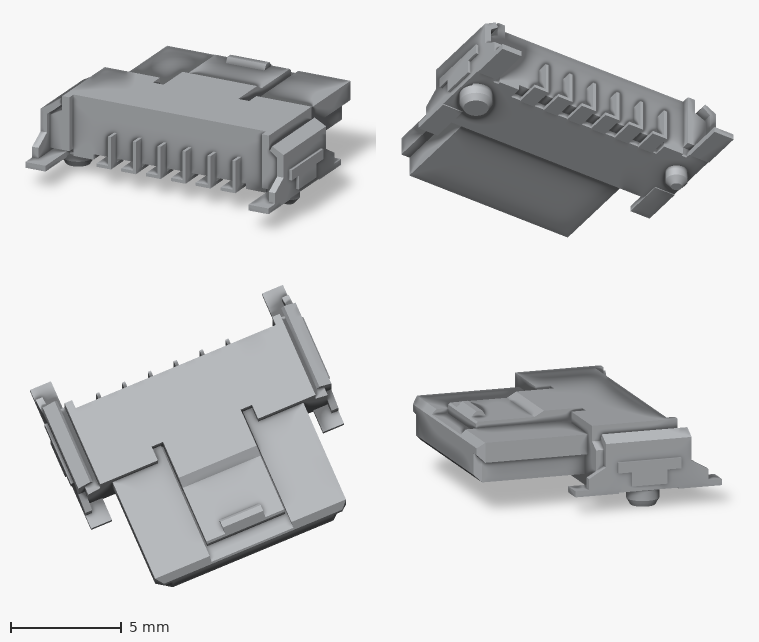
import cadquery as cq

TOP_Z = 3.02
BODY_BOTTOM = 0.05

BLOCK_REAR = 2.4
BLOCK_FRONT = -1.3
TAB_FRONT = -1.7
BLOCK_TOP_HALF = 5.28
BLOCK_HALF = 5.88
SHOULDER_TOP = 2.3
SHOULDER_BOTTOM = 2.02
TAB_INNER = 4.91
TAB_BOTTOM = 0.42
TAB_SLOPE_FRONT = BLOCK_FRONT
TAB_SLOPE_REAR = -1.15
TAB_SLOPE_BOTTOM = 0.18
UNDERCUT_HALF = 3.9
UNDERCUT_TOP = 0.32
UNDERCUT_REAR = -0.66
NOTCH_HALF = 2.46
NOTCH_FRONT = 1.7

MATING_REAR = 7.6
MATING_TOP = 2.49
MATING_STEP = 1.56
MATING_BOTTOM = 0.55
MATING_HALF = 4.69
MATING_LOWER_HALF = 4.25
MATING_CHAMFER = 0.3

LATCH_HALF = 1.9
LATCH_REAR = 6.77
LATCH_TOP = 2.77
LATCH_CHAMFER = 0.09
LATCH_RAMP_REAR = 3.96
LATCH_RAMP_FRONT = 3.52
RECESS_HALF = 2.01
RECESS_FLOOR = 2.26
SLOT_REAR = 4.01
SLOT_FLOOR = 2.16
BUMP_HALF = 0.99
BUMP_TOP_FRONT = 6.13
BUMP_FRONT = 5.97

BRACKET_OUTER = 6.21
BRACKET_INNER = BLOCK_HALF
BEND_Z = 2.36
BEND_INNER_Z = 2.17
FLAP_TIP = [(5.63, 2.68), (5.5, 2.45)]
FOOT_LENGTH = 7.01
FOOT_INNER = 5.18
FOOT_THICKNESS = 0.28
PLATE_HALF_LOW = 2.86
PLATE_HALF_HIGH = 2.05
PLATE_SLOPE_BOTTOM = 0.8
PLATE_SLOPE_TOP = 1.27
RELIEF_HALF = 1.44

KEY_OUTER = 6.35
KEY_HALF = 1.51
KEY_STEM_HALF = 0.85
KEY_TOP = 1.47
KEY_STEP = 0.98
KEY_BOTTOM = 0.32

LEFT_PEG_X = -5.37
RIGHT_PEG_X = 5.4
PEG_BOTTOM = -0.77
PEG_TAPER_Z = -0.47
PEG_FLAT_BOTTOM = -0.03
LEFT_PEG_RADII = (0.75, 0.57)
RIGHT_PEG_RADII = (0.51, 0.25)

CONTACT_COUNT = 6
CONTACT_PITCH = 1.27
FIRST_CONTACT_X = -2.69
CONTACT_THICKNESS = 0.15
CONTACT_TOP = 1.56
CONTACT_FOOT_WIDTH = 0.75
CONTACT_FRONT = -1.89


def box(x_range, y_range, z_range):
    """Block spanning the given ranges."""
    x0, x1 = x_range
    y0, y1 = y_range
    z0, z1 = z_range
    return cq.Workplane("XY").box(x1 - x0, y1 - y0, z1 - z0, centered=False).translate((x0, y0, z0))


def prism_along_x(points, x0, x1):
    """Outline of (y, z) points extruded from x0 to x1."""
    return cq.Workplane("YZ").polyline(points).close().extrude(x1 - x0).translate((x0, 0, 0))


def prism_along_y(points, y0, y1):
    """Outline of (x, z) points extruded from y0 to y1."""
    return cq.Workplane("XZ").polyline(points).close().extrude(y0 - y1).translate((0, y0, 0))


def mirrored(points):
    """Closed outline symmetric about the vertical axis, from its positive half."""
    return points + [(-a, b) for a, b in reversed(points)]


def both_sides(shape):
    """The shape together with its mirror image across X = 0."""
    return shape.union(shape.mirror("YZ"))


def housing_block():
    """Main block with front tabs, contact undercut and latch-side notch."""
    outline = mirrored([
        (BLOCK_HALF, BODY_BOTTOM),
        (BLOCK_HALF, SHOULDER_BOTTOM),
        (BLOCK_TOP_HALF, SHOULDER_TOP),
        (BLOCK_TOP_HALF, TOP_Z),
    ])
    block = prism_along_y(outline, TAB_FRONT, BLOCK_REAR)
    block = block.cut(box((-TAB_INNER, TAB_INNER), (TAB_FRONT, BLOCK_FRONT), (BODY_BOTTOM, TOP_Z)))
    undercut = box((-UNDERCUT_HALF, UNDERCUT_HALF), (BLOCK_FRONT, UNDERCUT_REAR), (BODY_BOTTOM, UNDERCUT_TOP))
    tab_relief = prism_along_x(
        [
            (TAB_FRONT, BODY_BOTTOM),
            (TAB_FRONT, TAB_BOTTOM),
            (TAB_SLOPE_FRONT, TAB_BOTTOM),
            (TAB_SLOPE_REAR, TAB_SLOPE_BOTTOM),
            (TAB_SLOPE_REAR, BODY_BOTTOM),
        ],
        TAB_INNER,
        BLOCK_HALF,
    )
    notch = box((-NOTCH_HALF, NOTCH_HALF), (NOTCH_FRONT, BLOCK_REAR), (MATING_TOP, TOP_Z))
    return block.cut(undercut).cut(both_sides(tab_relief)).cut(notch)


def mating_section():
    """Stepped rear section, chamfered around its end."""
    upper = box((-MATING_HALF, MATING_HALF), (BLOCK_REAR, MATING_REAR), (MATING_STEP, MATING_TOP))
    lower = box(
        (-MATING_LOWER_HALF, MATING_LOWER_HALF), (BLOCK_REAR, MATING_REAR), (MATING_BOTTOM, MATING_TOP)
    )
    return upper.faces(">Y").chamfer(MATING_CHAMFER).union(lower.faces(">Y").chamfer(MATING_CHAMFER))


def latch_recess():
    """Shallow recess around the latch, with deeper slots beside its root."""
    recess = box((-RECESS_HALF, RECESS_HALF), (NOTCH_FRONT, MATING_REAR), (RECESS_FLOOR, TOP_Z))
    slots = box((-RECESS_HALF, RECESS_HALF), (NOTCH_FRONT, SLOT_REAR), (SLOT_FLOOR, TOP_Z))
    return recess.union(slots)


def latch():
    """Latch lever with a catch bump near its rear end."""
    chamfer_foot_z = LATCH_TOP - LATCH_CHAMFER
    lever = prism_along_x(
        [
            (NOTCH_FRONT, SLOT_FLOOR),
            (SLOT_REAR, SLOT_FLOOR),
            (SLOT_REAR, RECESS_FLOOR),
            (LATCH_REAR, RECESS_FLOOR),
            (LATCH_REAR, chamfer_foot_z),
            (LATCH_REAR - LATCH_CHAMFER, LATCH_TOP),
            (LATCH_RAMP_REAR, LATCH_TOP),
            (LATCH_RAMP_FRONT, TOP_Z),
            (NOTCH_FRONT, TOP_Z),
        ],
        -LATCH_HALF,
        LATCH_HALF,
    )
    bump = prism_along_x(
        [
            (LATCH_REAR, chamfer_foot_z),
            (LATCH_REAR - (TOP_Z - chamfer_foot_z), TOP_Z),
            (BUMP_TOP_FRONT, TOP_Z),
            (BUMP_FRONT, LATCH_TOP),
            (BUMP_FRONT, chamfer_foot_z),
        ],
        -BUMP_HALF,
        BUMP_HALF,
    )
    return lever.union(bump)


def bracket():
    """Right-hand bracket: upright plate with a bent flap, a foot and a T-shaped key."""
    section = [(BRACKET_OUTER, 0), (BRACKET_OUTER, BEND_Z)] + FLAP_TIP
    section += [(BRACKET_INNER, BEND_INNER_Z), (BRACKET_INNER, 0)]
    flap_top = FLAP_TIP[0][1]
    side_outline = mirrored([
        (PLATE_HALF_LOW, 0),
        (PLATE_HALF_LOW, PLATE_SLOPE_BOTTOM),
        (PLATE_HALF_HIGH, PLATE_SLOPE_TOP),
        (PLATE_HALF_HIGH, flap_top),
    ])
    plate = prism_along_y(section, -PLATE_HALF_LOW, PLATE_HALF_LOW)
    plate = plate.intersect(prism_along_x(side_outline, 0, BRACKET_OUTER))
    foot = box((FOOT_INNER, BRACKET_OUTER), (-FOOT_LENGTH / 2, FOOT_LENGTH / 2), (0, FOOT_THICKNESS))
    relief = box((FOOT_INNER, BRACKET_OUTER), (-RELIEF_HALF, RELIEF_HALF), (0, BODY_BOTTOM))
    key_outline = mirrored([
        (KEY_STEM_HALF, KEY_BOTTOM),
        (KEY_STEM_HALF, KEY_STEP),
        (KEY_HALF, KEY_STEP),
        (KEY_HALF, KEY_TOP),
    ])
    key = prism_along_x(key_outline, BRACKET_INNER, KEY_OUTER)
    return plate.union(foot).cut(relief).union(key)


def peg(x, radii):
    """Round peg with a tapered tip."""
    radius, tip_radius = radii
    return (
        cq.Workplane("XZ")
        .polyline([
            (0, FOOT_THICKNESS),
            (radius, FOOT_THICKNESS),
            (radius, PEG_TAPER_Z),
            (tip_radius, PEG_BOTTOM),
            (0, PEG_BOTTOM),
        ])
        .close()
        .revolve(360, (0, 0), (0, 1))
        .translate((x, 0, 0))
    )


def peg_flat_cut():
    """Gap under the right-hand plate, leaving a short flat on the outside of the peg."""
    return box((BRACKET_INNER, BRACKET_OUTER), (-RELIEF_HALF, RELIEF_HALF), (PEG_FLAT_BOTTOM, BODY_BOTTOM))


def contact(right_edge):
    """L-shaped solder tail: an upright blade on a flat foot."""
    blade_x = (right_edge - CONTACT_THICKNESS, right_edge)
    foot_x = (right_edge - CONTACT_FOOT_WIDTH, right_edge)
    blade = box(blade_x, (CONTACT_FRONT, BLOCK_FRONT), (0, CONTACT_TOP))
    foot = box(foot_x, (CONTACT_FRONT, UNDERCUT_REAR), (0, CONTACT_THICKNESS))
    return blade.union(foot)


result = housing_block().union(mating_section()).cut(latch_recess()).union(latch())
result = result.union(both_sides(bracket()))
result = result.union(peg(LEFT_PEG_X, LEFT_PEG_RADII)).union(peg(RIGHT_PEG_X, RIGHT_PEG_RADII))
result = result.cut(both_sides(peg_flat_cut()))
for index in range(CONTACT_COUNT):
    result = result.union(contact(FIRST_CONTACT_X + index * CONTACT_PITCH))